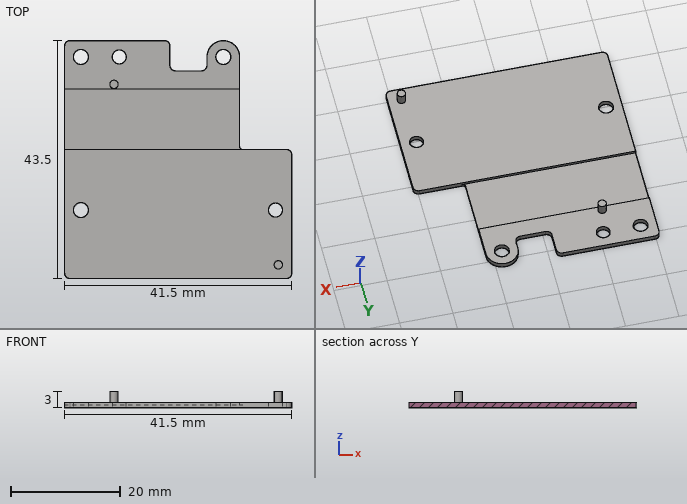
import cadquery as cq

length_y = 43.45
width_x = 41.5
overall_height = 3.0
plate_thickness = 1.0
corner_radius = 1.0

front_depth = 23.6
narrow_width = 32.0
inner_corner_radius = 0.5

tab_width = 19.25
notch_depth = 5.5
notch_radius = 1.0
lug_radius = 3.0
lug_x = narrow_width - lug_radius
lug_y = length_y - lug_radius
notch_right = narrow_width - 2 * lug_radius
notch_floor = length_y - notch_depth

step_depth = 0.5
step_end = 34.65

edge_offset = 3.0
front_hole_y = 12.5
large_hole_diameter = 2.7
small_hole_diameter = 2.5
large_holes = [
    (edge_offset, front_hole_y),
    (edge_offset, lug_y),
    (lug_x, lug_y),
]
small_holes = [
    (10.0, lug_y),
    (width_x - edge_offset, front_hole_y),
]
pin_diameter = 1.5
pins = [(9.05, 35.45), (39.05, 2.5)]


def make_plate():
    """Flat plate with the rounded lug, the notch and all corner fillets."""
    plate = (
        cq.Workplane("XY")
        .lineTo(width_x, 0)
        .lineTo(width_x, front_depth)
        .lineTo(narrow_width, front_depth)
        .lineTo(narrow_width, lug_y)
        .threePointArc((lug_x, length_y), (notch_right, lug_y))
        .lineTo(notch_right, notch_floor)
        .lineTo(tab_width, notch_floor)
        .lineTo(tab_width, length_y)
        .lineTo(0, length_y)
        .close()
        .extrude(plate_thickness)
    )
    outer_corners = [
        (0, 0),
        (width_x, 0),
        (width_x, front_depth),
        (tab_width, length_y),
        (0, length_y),
    ]
    notch_corners = [(tab_width, notch_floor), (notch_right, notch_floor)]
    plate = round_corners(plate, outer_corners, corner_radius)
    plate = round_corners(plate, notch_corners, notch_radius)
    return round_corners(plate, [(narrow_width, front_depth)], inner_corner_radius)


def round_corners(body, corners, radius):
    """Fillet the vertical edge at each corner."""
    for x, y in corners:
        nearest = cq.selectors.NearestToPointSelector((x, y, plate_thickness / 2))
        body = body.edges(nearest).fillet(radius)
    return body


def cut_step(body):
    """Lower the top face in a band running across the full narrow width."""
    band = (
        cq.Workplane("XY", origin=(0, front_depth, plate_thickness - step_depth))
        .rect(width_x, step_end - front_depth, centered=False)
        .extrude(step_depth)
    )
    return body.cut(band)


def cut_holes(body, centers, diameter):
    """Drill through holes at the given centers."""
    drills = (
        cq.Workplane("XY")
        .pushPoints(centers)
        .circle(diameter / 2)
        .extrude(plate_thickness)
    )
    return body.cut(drills)


def add_pins(body):
    """Stand the locating pins on the plate, rooted at its underside."""
    posts = (
        cq.Workplane("XY")
        .pushPoints(pins)
        .circle(pin_diameter / 2)
        .extrude(overall_height)
    )
    return body.union(posts)


result = make_plate()
result = cut_step(result)
result = cut_holes(result, large_holes, large_hole_diameter)
result = cut_holes(result, small_holes, small_hole_diameter)
result = add_pins(result)